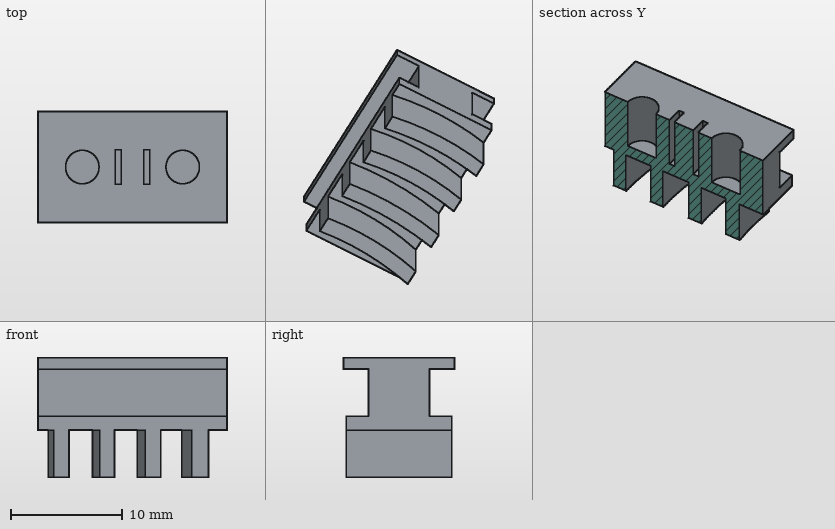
import cadquery as cq

length = 17.0
top_flange_width = 10.0
web_width = 5.47
lower_flange_width = 9.5
top_flange_height = 1.02
web_height = 4.22
lower_flange_height = 1.25
vane_height = 4.25

lower_flange_z = vane_height
web_z = lower_flange_z + lower_flange_height
top_flange_z = web_z + web_height
top_z = top_flange_z + top_flange_height

hole_diameter = 3.01
hole_offset = 4.5
slot_width = 0.53
slot_length = 3.06
slot_offset = 1.28
opening_depth = top_z - web_z

vanes = [
    (1.45, 1.36, 0.17, 0.45),
    (5.55, 1.36, 0.34, 0.48),
    (9.64, 1.41, 0.58, 0.39),
    (13.84, 1.5, 0.8, 0.46),
]


def layer(width, height, base_z):
    """Full-length bar centred on the X axis."""
    bar = cq.Workplane("XY").box(length, width, height, centered=(True, True, False))
    return bar.translate((0, 0, base_z))


def vane(left_edge, thickness, rear_shift, bow):
    """Upright vane whose two sides are equal arcs bowed toward -X."""
    front_x = left_edge - length / 2
    rear_x = front_x - rear_shift
    middle_x = (front_x + rear_x) / 2 - bow
    half_depth = lower_flange_width / 2
    return (
        cq.Workplane("XY")
        .moveTo(front_x, -half_depth)
        .threePointArc((middle_x, 0), (rear_x, half_depth))
        .lineTo(rear_x + thickness, half_depth)
        .threePointArc((middle_x + thickness, 0), (front_x + thickness, -half_depth))
        .close()
        .extrude(vane_height)
    )


def top_openings():
    """Two round holes and two narrow slots, mirrored about the middle."""
    top = cq.Workplane("XY").workplane(offset=top_z)
    hole_centers = [(-hole_offset, 0), (hole_offset, 0)]
    slot_centers = [(-slot_offset, 0), (slot_offset, 0)]
    holes = top.pushPoints(hole_centers).circle(hole_diameter / 2).extrude(-opening_depth)
    slots = top.pushPoints(slot_centers).rect(slot_width, slot_length).extrude(-opening_depth)
    return holes.union(slots)


body = layer(lower_flange_width, lower_flange_height, lower_flange_z)
body = body.union(layer(web_width, web_height, web_z))
body = body.union(layer(top_flange_width, top_flange_height, top_flange_z))
for left_edge, thickness, rear_shift, bow in vanes:
    body = body.union(vane(left_edge, thickness, rear_shift, bow))

result = body.cut(top_openings())